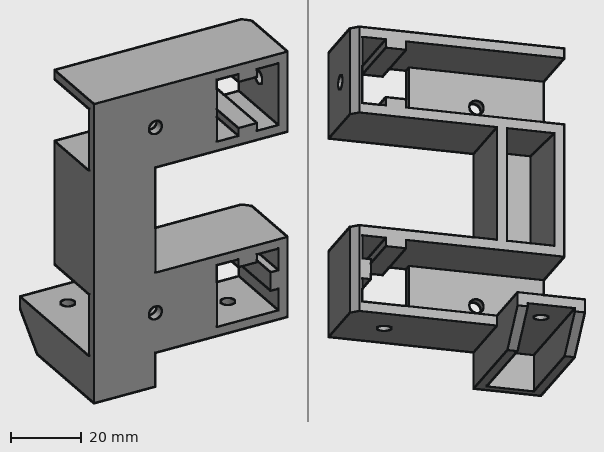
import cadquery as cq

height = 97.0
length = 63.0
foot_reach = 20.0
wall = 3.0
bay = 20.0
frame_depth = bay + wall
back_x = foot_reach + frame_depth
panel_x = back_x - wall

upper_floor = height - wall - bay
lower_floor = 14.0
lower_bay_top = lower_floor + bay
frame_bottom = lower_floor - wall

post_width = 20.0
panel_length = 40.0
inner_end = length - wall
nose_height = 4.0
end_chamfer = 2.1
pocket_draft = 1.0
rib_width = 6.0
rib_height = 2.5
hole_diameter = 4.2
hole_y = post_width
window_y = (panel_length + inner_end) / 2
frame_mid_x = foot_reach + frame_depth / 2
through = 2 * height


def box(x0, x1, y0, y1, z0, z1):
    """Block between opposite corners."""
    return cq.Workplane("XY").box(x1 - x0, y1 - y0, z1 - z0, centered=False).translate((x0, y0, z0))


def hole(center, direction):
    """Round hole cutter starting at center."""
    return cq.Workplane(cq.Solid.makeCylinder(
        hole_diameter / 2, through, cq.Vector(*center), cq.Vector(*direction)))


def arm(floor):
    """Channel open at the front and near end, with a window at the far end of its back panel."""
    outer = box(foot_reach, back_x, 0, length, floor - wall, floor + bay + wall)
    outer = outer.edges("|Z and <X and >Y").chamfer(end_chamfer)
    channel = box(foot_reach, panel_x, 0, inner_end, floor, floor + bay)
    window = box(foot_reach, back_x, panel_length, inner_end, floor, floor + bay)
    panel_hole = hole((foot_reach, hole_y, floor + bay / 2), (1, 0, 0))
    return outer.cut(channel).cut(window).cut(panel_hole)


def rib(z0):
    """Rib along X on a bay's floor or roof, centred on the window."""
    return box(foot_reach, back_x, window_y - rib_width / 2, window_y + rib_width / 2, z0, z0 + rib_height)


def post():
    """Hollow post joining the arms, open at the front, its side walls thickening toward the back."""
    z0 = lower_bay_top
    z1 = upper_floor
    body = box(foot_reach, back_x, 0, post_width, z0, z1)
    mouth_y = post_width - wall
    pocket = (
        cq.Workplane("XY", origin=(0, 0, z0 + wall))
        .polyline([
            (foot_reach, wall),
            (panel_x, wall + pocket_draft),
            (panel_x, mouth_y - pocket_draft),
            (foot_reach, mouth_y),
        ])
        .close()
        .extrude(z1 - z0 - 2 * wall)
    )
    return body.cut(pocket)


def foot():
    """Sloped foot under the near end, hollowed from below."""
    slope = foot_reach / 2
    body = (
        cq.Workplane("XZ")
        .polyline([
            (0, lower_floor),
            (0, lower_floor - nose_height),
            (slope, 0),
            (back_x, 0),
            (back_x, lower_floor),
            (foot_reach, lower_floor),
        ])
        .close()
        .extrude(-post_width)
    )
    return body.cut(box(0, panel_x, wall, post_width - wall, 0, frame_bottom))


result = arm(upper_floor).union(arm(lower_floor)).union(post()).union(foot())

for rib_z in (upper_floor, height - wall - rib_height, lower_bay_top - rib_height):
    result = result.union(rib(rib_z))

side_rib_z = lower_floor + (bay - rib_width) / 2
result = result.union(box(
    foot_reach, back_x, inner_end - rib_height, inner_end, side_rib_z, side_rib_z + rib_width))

result = result.cut(hole((frame_mid_x, inner_end - wall, upper_floor + bay / 2), (0, 1, 0)))
result = result.cut(hole((frame_mid_x, window_y, lower_floor), (0, 0, -1)))
result = result.cut(hole((foot_reach / 2, post_width / 2, lower_floor), (0, 0, -1)))